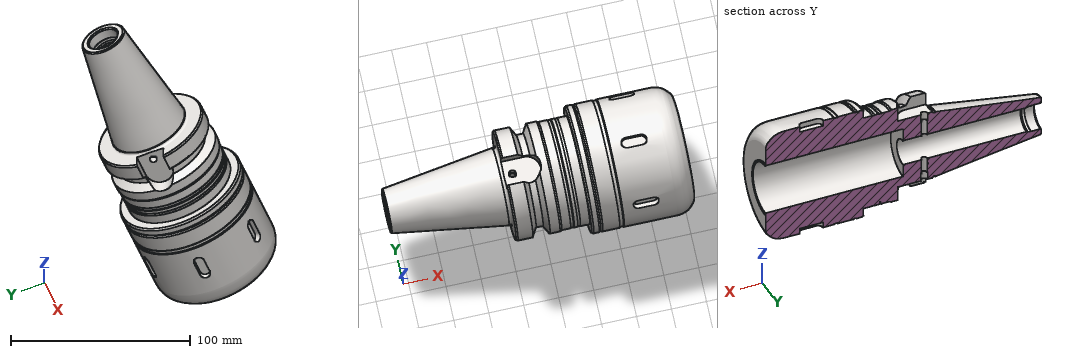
import cadquery as cq
import math


gauge_dia = 44.45
taper_ratio = 7 / 24
shank_length = 65.4
shank_end_chamfer_length = 0.6
shank_end_chamfer_height = 0.8
neck_dia = 43.5
neck_fillet = 1.5

flange_dia = 63.0
flange_face_x = 2.0
flange_chamfer_length = 1.0
flange_chamfer_height = 0.7
flange_length = 9.55
v_groove_dia = 53.0
v_groove_floor_length = 4.0
v_groove_half_angle = 30.0

collar_end_x = 27.0
body_dia = 62.0
body_groove_dia = 61.6
collar_chamfer_length = 1.1
first_groove_x = 33.2
first_groove_length = 1.6
first_groove_chamfer = 0.5
second_groove_x = 37.3
second_groove_length = 1.5

nut_dia = 73.0
nut_start_x = 44.1
nut_chamfer_length = 1.1
nut_chamfer_height = 0.8
v_mark_x = 48.3
v_mark_width = 2.1
v_mark_depth = 0.5
nut_groove_x = 60.1
nut_groove_length = 2.1
nut_groove_depth = 0.4
nut_groove_chamfer = 0.5
nut_straight_end_x = 92.9
nose_blend_x = 98.5
nose_blend_dia = 70.8
nose_cone_start_x = 100.9
nose_cone_end_x = 103.0
nose_cone_start_dia = 67.8
nose_cone_angle = 45.0
nose_face_x = 104.5
nose_face_dia = 57.0
lip_dia = 34.0
front_x = 105.0

mouth_dia = 18.6
shank_bore_dia = 17.2
mouth_chamfer_length = 0.8
shank_bore_depth = 6.5
step_dia = 17.0
step_length = 1.8
step_cone_length = 1.0
through_dia = 16.0
clamping_bore_dia = 32.0
clamping_bore_depth = 85.0
clamping_mouth_dia = 32.5

keyway_count = 2
keyway_width = 16.0
keyway_floor_height = 22.6
keyway_end_x = 23.0
pin_hole_dia = 3.4
pin_seat_dia = 4.0
pin_seat_depth = 5.0
pin_hole_x = 6.8

slot_count = 6
slot_length = 14.4
slot_width = 6.0
slot_depth = 3.5
slot_center_x = 76.3


def make_body():
    """Revolve the outer profile, from the shank end to the nut nose."""
    shank_end_x = -shank_length
    shank_chamfer_x = shank_end_x + shank_end_chamfer_length
    shank_chamfer_radius = (gauge_dia + taper_ratio * shank_chamfer_x) / 2
    shank_end_radius = shank_chamfer_radius - shank_end_chamfer_height
    gauge_radius = gauge_dia / 2
    neck_radius = neck_dia / 2
    flange_radius = flange_dia / 2
    v_floor_radius = v_groove_dia / 2
    body_radius = body_dia / 2
    body_groove_radius = body_groove_dia / 2
    nut_radius = nut_dia / 2
    nose_cone_start_radius = nose_cone_start_dia / 2
    nose_cone_length = nose_cone_end_x - nose_cone_start_x
    nose_cone_drop = nose_cone_length * math.tan(math.radians(nose_cone_angle))
    nose_cone_end_radius = nose_cone_start_radius - nose_cone_drop

    v_side_length = (flange_radius - v_floor_radius) * math.tan(math.radians(v_groove_half_angle))
    v_start_x = flange_face_x + flange_length
    v_floor_start_x = v_start_x + v_side_length
    v_floor_end_x = v_floor_start_x + v_groove_floor_length
    first_floor_end_x = first_groove_x + first_groove_length
    second_end_x = second_groove_x + second_groove_length
    nut_floor_end_x = nut_groove_x + nut_groove_length
    nut_groove_radius = nut_radius - nut_groove_depth

    profile = (
        cq.Workplane("XY")
        .moveTo(shank_end_x, 0)
        .lineTo(shank_end_x, shank_end_radius)
        .lineTo(shank_chamfer_x, shank_chamfer_radius)
        .lineTo(0, gauge_radius)
        .lineTo(0, neck_radius)
        .lineTo(flange_face_x - neck_fillet, neck_radius)
        .tangentArcPoint((flange_face_x, neck_radius + neck_fillet), relative=False)
        .lineTo(flange_face_x, flange_radius - flange_chamfer_height)
        .lineTo(flange_face_x + flange_chamfer_length, flange_radius)
        .lineTo(v_start_x, flange_radius)
        .lineTo(v_floor_start_x, v_floor_radius)
        .lineTo(v_floor_end_x, v_floor_radius)
        .lineTo(v_floor_end_x + v_side_length, flange_radius)
        .lineTo(collar_end_x, flange_radius)
        .lineTo(collar_end_x + collar_chamfer_length, body_radius)
        .lineTo(first_groove_x, body_radius)
        .lineTo(first_groove_x, body_groove_radius)
        .lineTo(first_floor_end_x, body_groove_radius)
        .lineTo(first_floor_end_x + first_groove_chamfer, body_radius)
        .lineTo(second_groove_x, body_radius)
        .lineTo(second_groove_x, body_groove_radius)
        .lineTo(second_end_x, body_groove_radius)
        .lineTo(second_end_x, body_radius)
        .lineTo(nut_start_x, body_radius)
        .lineTo(nut_start_x, nut_radius - nut_chamfer_height)
        .lineTo(nut_start_x + nut_chamfer_length, nut_radius)
        .lineTo(v_mark_x, nut_radius)
        .lineTo(v_mark_x + v_mark_width / 2, nut_radius - v_mark_depth)
        .lineTo(v_mark_x + v_mark_width, nut_radius)
        .lineTo(nut_groove_x, nut_radius)
        .lineTo(nut_groove_x, nut_groove_radius)
        .lineTo(nut_floor_end_x, nut_groove_radius)
        .lineTo(nut_floor_end_x + nut_groove_chamfer, nut_radius)
        .lineTo(nut_straight_end_x, nut_radius)
        .tangentArcPoint((nose_blend_x, nose_blend_dia / 2), relative=False)
        .tangentArcPoint((nose_cone_start_x, nose_cone_start_radius), relative=False)
        .lineTo(nose_cone_end_x, nose_cone_end_radius)
        .tangentArcPoint((nose_face_x, nose_face_dia / 2), relative=False)
        .lineTo(nose_face_x, lip_dia / 2)
        .lineTo(front_x, lip_dia / 2)
        .lineTo(front_x, 0)
        .close()
    )
    return profile.revolve(360, (0, 0, 0), (1, 0, 0))


def make_bore():
    """Revolve the stepped hole that runs through the whole chuck."""
    shank_end_x = -shank_length
    step_x = shank_end_x + shank_bore_depth
    step_end_x = step_x + step_length
    clamping_floor_x = front_x - clamping_bore_depth
    clamping_radius = clamping_bore_dia / 2
    clamping_mouth_radius = clamping_mouth_dia / 2
    clamping_chamfer = clamping_mouth_radius - clamping_radius

    profile = (
        cq.Workplane("XY")
        .moveTo(shank_end_x, 0)
        .lineTo(shank_end_x, mouth_dia / 2)
        .lineTo(shank_end_x + mouth_chamfer_length, shank_bore_dia / 2)
        .lineTo(step_x, shank_bore_dia / 2)
        .lineTo(step_x, step_dia / 2)
        .lineTo(step_end_x, step_dia / 2)
        .lineTo(step_end_x + step_cone_length, through_dia / 2)
        .lineTo(clamping_floor_x, through_dia / 2)
        .lineTo(clamping_floor_x, clamping_radius)
        .lineTo(front_x - clamping_chamfer, clamping_radius)
        .lineTo(front_x, clamping_mouth_radius)
        .lineTo(front_x, 0)
        .close()
    )
    return profile.revolve(360, (0, 0, 0), (1, 0, 0))


def make_keyway():
    """Upper drive keyway: open at the flange face, round at its inner end."""
    half_width = keyway_width / 2
    round_center_x = keyway_end_x - half_width
    height = nut_dia / 2 - keyway_floor_height
    return (
        cq.Workplane("XY", origin=(0, 0, keyway_floor_height))
        .moveTo(0, -half_width)
        .lineTo(round_center_x, -half_width)
        .threePointArc((keyway_end_x, 0), (round_center_x, half_width))
        .lineTo(0, half_width)
        .close()
        .extrude(height)
    )


def make_pin_hole():
    """Upper pin hole, from the keyway floor to the axis, with a wider seat at its mouth."""
    hole = (
        cq.Workplane("XY", origin=(pin_hole_x, 0, 0))
        .circle(pin_hole_dia / 2)
        .extrude(keyway_floor_height)
    )
    seat = (
        cq.Workplane("XY", origin=(pin_hole_x, 0, keyway_floor_height - pin_seat_depth))
        .circle(pin_seat_dia / 2)
        .extrude(pin_seat_depth)
    )
    return hole.union(seat)


def make_wrench_slot():
    """Wrench slot at the top of the nut, with a flat floor."""
    return (
        cq.Workplane("XY", origin=(slot_center_x, 0, nut_dia / 2 - slot_depth))
        .slot2D(slot_length, slot_width)
        .extrude(slot_depth)
    )


def spread_around_axis(shape, count):
    """Return copies of a shape at equal angles about the X axis."""
    return [shape.rotate((0, 0, 0), (1, 0, 0), i * 360 / count) for i in range(count)]


result = make_body().cut(make_bore())
for keyway in spread_around_axis(make_keyway(), keyway_count):
    result = result.cut(keyway)
for pin_hole in spread_around_axis(make_pin_hole(), keyway_count):
    result = result.cut(pin_hole)
for slot in spread_around_axis(make_wrench_slot(), slot_count):
    result = result.cut(slot)